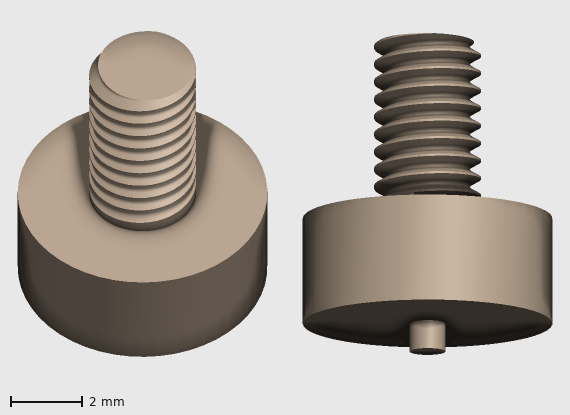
import cadquery as cq
import math

head_diameter = 7.0
head_height = 3.0

pin_diameter = 1.0
pin_length = 0.8

thread_diameter = 3.0
thread_pitch = 0.5
shank_length = 5.0

thread_radius = thread_diameter / 2
flank_angle = math.radians(30)
crest_flat = thread_pitch / 8
root_chord = thread_pitch / 4
groove_start_height = thread_pitch / 2
groove_start_angle = 90.0

cutter_overreach = 0.02
cutter_turns = math.ceil(shank_length / thread_pitch) + 1
trim_surplus = 3 * thread_pitch


def make_cylinder(radius, bottom, height):
    """Upright cylinder on the Z axis."""
    return cq.Workplane("XY").workplane(offset=bottom).circle(radius).extrude(height)


def make_body():
    """Head with the locating pin hanging below it."""
    head = make_cylinder(head_diameter / 2, 0, head_height)
    pin = make_cylinder(pin_diameter / 2, -pin_length, pin_length)
    return head.union(pin)


def make_groove_cutter():
    """Round-nosed wedge swept along a helix, its middle starting half a pitch above the head."""
    half_root = root_chord / 2
    half_opening = (thread_pitch - crest_flat) / 2
    tangent_radius = thread_radius - (half_opening - half_root) / math.tan(flank_angle)
    root_rounding = half_root / math.cos(flank_angle)
    root_radius = tangent_radius - root_rounding * (1 - math.sin(flank_angle))
    outer_radius = thread_radius + cutter_overreach
    half_outer = half_opening + cutter_overreach * math.tan(flank_angle)

    helix = cq.Wire.makeHelix(thread_pitch, cutter_turns * thread_pitch, root_radius)
    cutter = (
        cq.Workplane("XZ")
        .moveTo(tangent_radius, -half_root)
        .lineTo(outer_radius, -half_outer)
        .lineTo(outer_radius, half_outer)
        .lineTo(tangent_radius, half_root)
        .threePointArc((root_radius, 0), (tangent_radius, -half_root))
        .close()
        .sweep(cq.Workplane(obj=helix), isFrenet=True)
    )
    return (
        cutter
        .rotate((0, 0, 0), (0, 0, 1), groove_start_angle)
        .translate((0, 0, head_height + groove_start_height))
    )


def make_threaded_shank():
    """Overlong grooved cylinder, trimmed flat through the thread at its top end."""
    overlong = make_cylinder(thread_radius, head_height, shank_length + trim_surplus)
    surplus = make_cylinder(thread_diameter, head_height + shank_length, 2 * trim_surplus)
    return overlong.cut(make_groove_cutter()).cut(surplus)


result = make_body().union(make_threaded_shank())